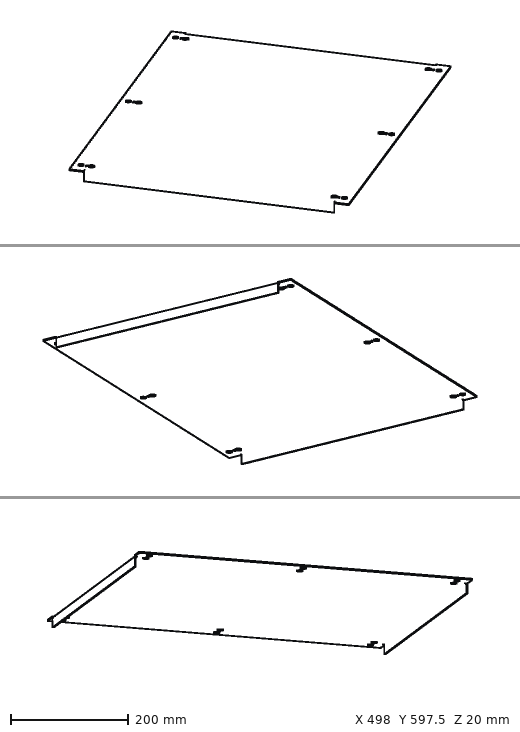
import cadquery as cq

width = 498.0
length = 597.5
height = 20.0
thickness = 2.5

flange_width = 446.0
bend_radius = 5.0
inner_radius = bend_radius - thickness

row_spacing = 552.0
hole_diameter = 9.5
hole_inset = 14.5
keyhole_inset = 33.0
keyhole_diameter = 10.0
neck_start_inset = 23.5
neck_width = 4.0

top = height / 2
plate_bottom = top - thickness
cut_depth = 2 * thickness


def make_plate():
    """Flat panel centred on X and Y, with its top face at the upper limit."""
    return cq.Workplane("XY", origin=(0, 0, plate_bottom)).rect(width, length).extrude(thickness)


def bent_section():
    """Downturned channel section, with rounded bends, spanning the flange width."""
    outer = cq.Workplane("XY").box(flange_width, length, height)
    outer = outer.edges("|X and >Z").fillet(bend_radius)
    inner = cq.Workplane("XY").box(flange_width, length - 2 * thickness, height)
    inner = inner.edges("|X and >Z").fillet(inner_radius)
    return outer.cut(inner.translate((0, 0, -thickness)))


def edge_reliefs():
    """Strips of flat panel replaced by the two bends."""
    return (
        cq.Workplane("XY", origin=(0, 0, plate_bottom))
        .pushPoints([(0, side * (length - bend_radius) / 2) for side in (-1, 1)])
        .rect(flange_width, bend_radius)
        .extrude(thickness)
    )


def cutter(x, y):
    """Sketch plane for an opening through the panel."""
    return cq.Workplane("XY", origin=(x, y, top - cut_depth))


def mounting_openings(side, y):
    """Round hole and keyhole on one side; the keyhole neck points outward."""
    edge_x = side * width / 2
    keyhole_x = edge_x - side * keyhole_inset
    neck_length = keyhole_inset - neck_start_inset
    neck_x = keyhole_x + side * neck_length / 2
    hole = cutter(edge_x - side * hole_inset, y).circle(hole_diameter / 2).extrude(cut_depth)
    head = cutter(keyhole_x, y).circle(keyhole_diameter / 2).extrude(cut_depth)
    neck = cutter(neck_x, y).rect(neck_length, neck_width).extrude(cut_depth)
    return hole.union(head).union(neck)


result = make_plate().cut(edge_reliefs()).union(bent_section())
for side in (-1, 1):
    for y in (-row_spacing / 2, 0, row_spacing / 2):
        result = result.cut(mounting_openings(side, y))